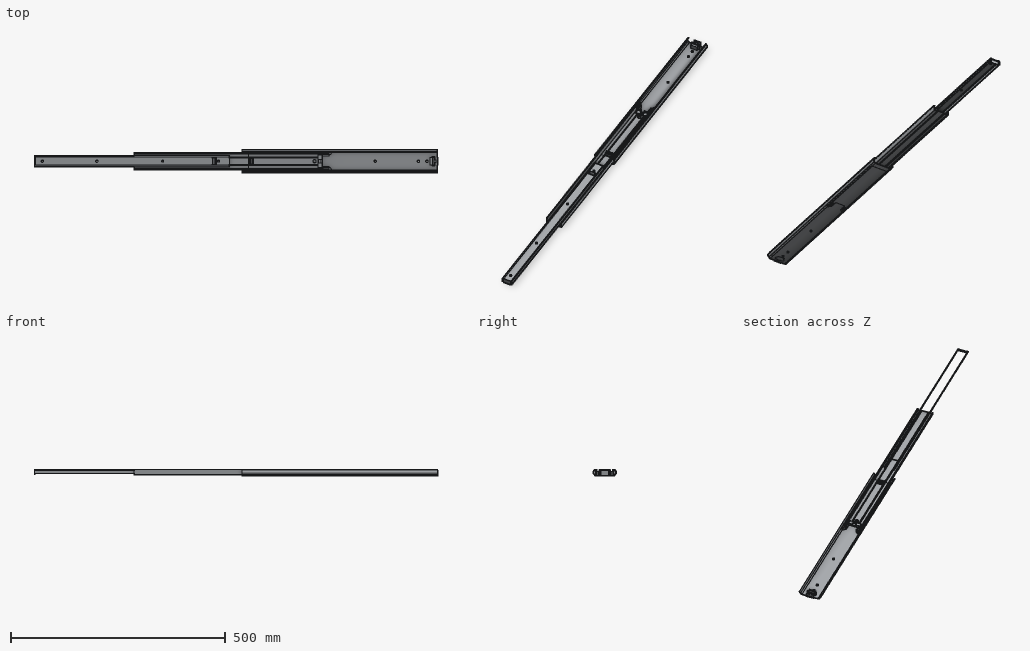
import cadquery as cq

TOTAL_LENGTH = 940.0
TOP = 16.0
SHEET = 2.0
HOLE_RADIUS = 2.35

OUTER_START = 483.0
OUTER_END = 938.0
OUTER_HALF = 27.0
OUTER_TRACK_DEPTH = 3.3
OUTER_LIP = 2.0
OUTER_WALL = 2.0
OUTER_BEND = 4.0
OUTER_HOLES = [793.0, 894.0, 913.0]
END_TAB_HALF = 8.9
END_TAB_TOP = 13.0

MIDDLE_START = 232.0
MIDDLE_END = 671.0
MIDDLE_HALF = 20.2
MIDDLE_BOTTOM = 3.0
MIDDLE_FLOOR = MIDDLE_BOTTOM + SHEET
MIDDLE_WALL = 2.35
MIDDLE_BEND = 2.0
TRACK_BULGE = 1.0
RIB_FOOT_HALF = 9.9
RIB_CREST_HALF = 8.0
RIB_RISE = 1.0
RIB_END = 660.0
LATCH_START = 498.0
LATCH_LENGTH = 12.0
LATCH_HALF = 7.0
LATCH_RIBS = 3
LATCH_RIB_THICKNESS = 1.4
LATCH_TOP = 11.0
MIDDLE_HOLE_X = 652.0
MIDDLE_HOLE_RADIUS = 4.0
STOP_HALF = 14.0
STOP_PAD_TOP = 7.5
STOP_TOP = 11.0
STOP_NOTCH = 4.0

INNER_END = 454.0
INNER_HALF = 13.0
INNER_FLAT_HALF = 10.0
INNER_BOTTOM = 6.0
INNER_SHOULDER = 12.7
INNER_HOLES = [19.0, 146.0, 299.0, 429.0]
FRONT_TAB_BOTTOM = 4.0
FRONT_TAB_HALF = 9.0
FRONT_TAB_BEND = 2.35
WINDOW_START = 414.0
WINDOW_END = 423.0
WINDOW_HALF = 7.5
FLAP_REACH = 3.0
FLAP_BOTTOM = 7.5

CAGE_START = 498.0
CAGE_END = 692.0
CAGE_INNER_HALF = 12.0
CAGE_HALF = 22.0
CAGE_WALL = 1.0
CAGE_BEVEL = 2.0
CAGE_INNER_BEVEL = 1.4
CAGE_TOP = 13.0
CAGE_BRIDGE_END = 667.0
CAGE_TAPER = 7.0
PRONG_TOP = 11.0
PRONG_SLOT_IN = 15.0
PRONG_SLOT_OUT = 18.0

BUMPER_TOP = 12.0
LUG_START = 921.0
HEAD_START = 925.0
HEAD_END = 932.0
LUG_HALF = 8.0
HEAD_HALF = 11.0
HEAD_CORNER = 3.0
NOSE_LENGTH = 3.0
NOSE_HALF = 3.0
POCKET_MARGIN = 2.0
POCKET_FLOOR = 4.0


def block(x0, x1, half_width, z0, z1):
    """Box between two X and two Z values, centred on Y = 0."""
    base = cq.Workplane("XY", origin=(x0, 0, z0))
    return base.box(x1 - x0, 2 * half_width, z1 - z0, centered=(False, True, False))


def drill(body, x_places, radius):
    """Drill vertical holes through the whole height on the centre line."""
    for x in x_places:
        body = body.cut(cq.Workplane("XY").center(x, 0).circle(radius).extrude(TOP))
    return body


def make_outer_rail():
    lip = OUTER_HALF - OUTER_TRACK_DEPTH
    lip_in = lip - OUTER_WALL
    track_top = TOP - OUTER_LIP
    mid = (track_top + OUTER_BEND) / 2
    half = (
        cq.Workplane("YZ", origin=(OUTER_START, 0, 0))
        .moveTo(0, 0)
        .lineTo(lip - OUTER_BEND, 0)
        .tangentArcPoint((lip, OUTER_BEND), relative=False)
        .threePointArc((OUTER_HALF, mid), (lip, track_top))
        .lineTo(lip, TOP)
        .lineTo(lip_in, TOP)
        .lineTo(lip_in, track_top)
        .threePointArc((OUTER_HALF - OUTER_WALL, mid), (lip_in, OUTER_BEND))
        .lineTo(lip_in - SHEET, SHEET)
        .lineTo(0, SHEET)
        .close()
        .extrude(OUTER_END - OUTER_START)
    )
    rail = half.union(half.mirror("XZ"))
    rail = rail.union(block(OUTER_END - SHEET, TOTAL_LENGTH, END_TAB_HALF, 0, SHEET))
    rail = rail.union(block(TOTAL_LENGTH - SHEET, TOTAL_LENGTH, END_TAB_HALF, 0, END_TAB_TOP))
    return drill(rail, OUTER_HOLES, HOLE_RADIUS)


def make_middle_rail():
    lip_in = MIDDLE_HALF - MIDDLE_WALL
    half = (
        cq.Workplane("YZ", origin=(MIDDLE_START, 0, 0))
        .moveTo(0, MIDDLE_BOTTOM)
        .lineTo(MIDDLE_HALF - MIDDLE_BEND, MIDDLE_BOTTOM)
        .tangentArcPoint((MIDDLE_HALF, MIDDLE_BOTTOM + MIDDLE_BEND), relative=False)
        .lineTo(MIDDLE_HALF, TOP)
        .lineTo(lip_in, TOP)
        .threePointArc((lip_in, (TOP + MIDDLE_FLOOR) / 2), (lip_in - TRACK_BULGE, MIDDLE_FLOOR))
        .lineTo(0, MIDDLE_FLOOR)
        .close()
        .extrude(MIDDLE_END - MIDDLE_START)
    )
    rail = half.union(half.mirror("XZ"))
    rail = rail.union(rib(MIDDLE_FLOOR)).cut(rib(MIDDLE_BOTTOM))

    rail = rail.cut(block(LATCH_START, LATCH_START + LATCH_LENGTH, LATCH_HALF, 0, TOP))
    rib_pitch = LATCH_LENGTH / LATCH_RIBS
    for i in range(LATCH_RIBS):
        x = LATCH_START + i * rib_pitch
        rail = rail.union(block(x, x + LATCH_RIB_THICKNESS, LATCH_HALF + SHEET, MIDDLE_FLOOR, LATCH_TOP))

    stop = block(RIB_END, MIDDLE_END, STOP_HALF, MIDDLE_FLOOR, STOP_PAD_TOP)
    stop = stop.union(block(MIDDLE_END - SHEET, MIDDLE_END, STOP_HALF, MIDDLE_FLOOR, STOP_TOP))
    stop = stop.cut(block(RIB_END + SHEET, MIDDLE_END, STOP_NOTCH, MIDDLE_FLOOR, STOP_TOP))
    return drill(rail.union(stop), [MIDDLE_HOLE_X], MIDDLE_HOLE_RADIUS)


def rib(base):
    """Trapezoidal rib along the middle rail, standing on the given height."""
    return (
        cq.Workplane("YZ", origin=(MIDDLE_START, 0, 0))
        .polyline(
            [
                (-RIB_FOOT_HALF, base),
                (-RIB_CREST_HALF, base + RIB_RISE),
                (RIB_CREST_HALF, base + RIB_RISE),
                (RIB_FOOT_HALF, base),
            ]
        )
        .close()
        .extrude(RIB_END - MIDDLE_START)
    )


def make_inner_rail():
    half = (
        cq.Workplane("YZ")
        .moveTo(0, TOP)
        .lineTo(INNER_FLAT_HALF, TOP)
        .tangentArcPoint((INNER_HALF, INNER_SHOULDER), relative=False)
        .lineTo(INNER_HALF, INNER_BOTTOM)
        .lineTo(INNER_HALF - SHEET, INNER_BOTTOM)
        .lineTo(INNER_HALF - SHEET, INNER_SHOULDER)
        .lineTo(INNER_FLAT_HALF - SHEET / 2, TOP - SHEET)
        .lineTo(0, TOP - SHEET)
        .close()
        .extrude(INNER_END)
    )
    rail = half.union(half.mirror("XZ"))
    rail = rail.cut(block(0, FRONT_TAB_BEND, FRONT_TAB_HALF, 0, TOP))
    front_tab = (
        cq.Workplane("XZ", origin=(0, FRONT_TAB_HALF, 0))
        .moveTo(0, FRONT_TAB_BOTTOM)
        .lineTo(0, TOP - FRONT_TAB_BEND)
        .tangentArcPoint((FRONT_TAB_BEND, TOP), relative=False)
        .lineTo(FRONT_TAB_BEND, TOP - SHEET)
        .lineTo(SHEET, TOP - FRONT_TAB_BEND)
        .lineTo(SHEET, FRONT_TAB_BOTTOM)
        .close()
        .extrude(2 * FRONT_TAB_HALF)
    )
    rail = rail.union(front_tab)

    rail = rail.cut(block(WINDOW_START, WINDOW_END, WINDOW_HALF, 0, TOP))
    flap = (
        cq.Workplane("XZ", origin=(0, WINDOW_HALF, 0))
        .polyline(
            [
                (WINDOW_END, TOP),
                (WINDOW_END + SHEET, TOP),
                (WINDOW_END + SHEET - FLAP_REACH, FLAP_BOTTOM),
                (WINDOW_END - FLAP_REACH, FLAP_BOTTOM),
            ]
        )
        .close()
        .extrude(2 * WINDOW_HALF)
    )
    return drill(rail.union(flap), INNER_HOLES, HOLE_RADIUS)


def make_ball_cage():
    side_in = CAGE_HALF - CAGE_WALL
    half = (
        cq.Workplane("YZ", origin=(CAGE_START, 0, 0))
        .moveTo(0, SHEET)
        .lineTo(CAGE_HALF - CAGE_BEVEL, SHEET)
        .lineTo(CAGE_HALF, SHEET + CAGE_BEVEL)
        .lineTo(CAGE_HALF, CAGE_TOP)
        .lineTo(side_in, CAGE_TOP)
        .lineTo(side_in, MIDDLE_BOTTOM + CAGE_INNER_BEVEL)
        .lineTo(side_in - CAGE_INNER_BEVEL, MIDDLE_BOTTOM)
        .lineTo(0, MIDDLE_BOTTOM)
        .close()
        .extrude(CAGE_END - CAGE_START)
    )
    cage = half.union(half.mirror("XZ"))
    cage = cage.union(block(MIDDLE_END, CAGE_END, side_in, MIDDLE_BOTTOM + CAGE_INNER_BEVEL, PRONG_TOP))
    cage = cage.union(block(MIDDLE_END, CAGE_END, side_in - CAGE_INNER_BEVEL, SHEET, PRONG_TOP))
    cage = cage.cut(block(CAGE_BRIDGE_END, CAGE_END, CAGE_INNER_HALF, SHEET, CAGE_TOP))
    slots = block(MIDDLE_END + CAGE_WALL, CAGE_END - CAGE_TAPER, PRONG_SLOT_OUT, SHEET, PRONG_TOP)
    slots = slots.cut(block(MIDDLE_END, CAGE_END, PRONG_SLOT_IN, SHEET, PRONG_TOP))
    cage = cage.cut(slots)
    for side in (1, -1):
        bevel = (
            cq.Workplane("XY")
            .polyline(
                [
                    (CAGE_END, side * CAGE_INNER_HALF),
                    (CAGE_END, side * (CAGE_INNER_HALF + CAGE_TAPER)),
                    (CAGE_END - CAGE_TAPER, side * CAGE_INNER_HALF),
                ]
            )
            .close()
            .extrude(TOP)
        )
        cage = cage.cut(bevel)
    return cage


def make_bumper():
    head = block(HEAD_START, HEAD_END, HEAD_HALF, SHEET, BUMPER_TOP).edges("|Z").fillet(HEAD_CORNER)
    pocket_half = HEAD_HALF - HEAD_CORNER
    pocket = block(
        HEAD_START + POCKET_MARGIN, HEAD_END - POCKET_MARGIN, pocket_half, POCKET_FLOOR, BUMPER_TOP
    )
    lug = block(LUG_START, HEAD_START, LUG_HALF, SHEET, BUMPER_TOP)
    nose = block(HEAD_END, HEAD_END + NOSE_LENGTH, NOSE_HALF, SHEET, BUMPER_TOP)
    return head.union(lug).union(nose).cut(pocket)


outer_rail = make_outer_rail()
middle_rail = make_middle_rail()
inner_rail = make_inner_rail()
ball_cage = make_ball_cage()
bumper = make_bumper()

bodies = [outer_rail, middle_rail, inner_rail, ball_cage, bumper]

result = cq.Compound.makeCompound([body.solids().val() for body in bodies])